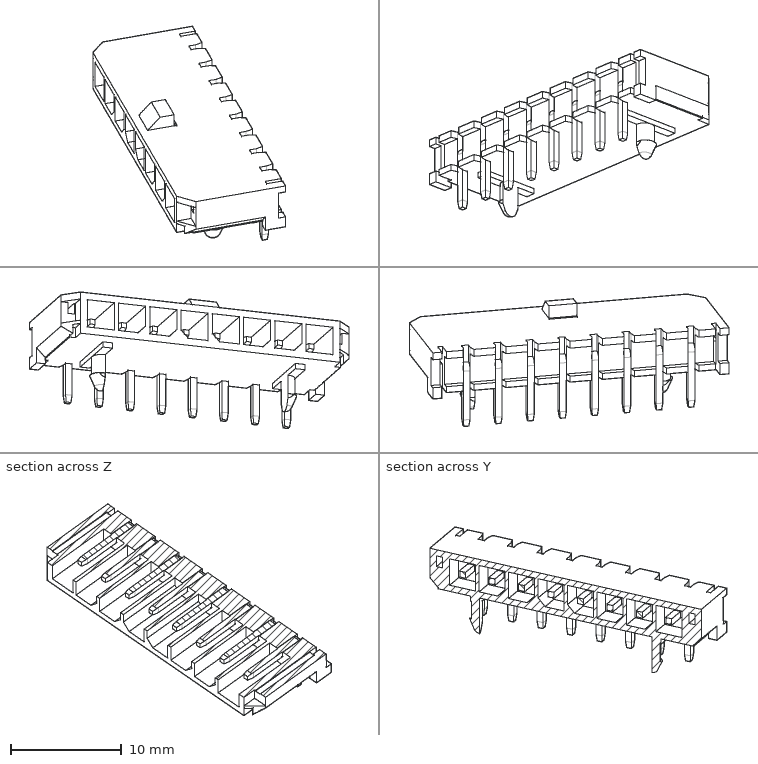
import cadquery as cq
import math


KEY_SIDES = [0, 1, 1, -1, -1, 1, 1, 0]
PIN_COUNT = len(KEY_SIDES)
ROW_SPAN = 21.0
PITCH = ROW_SPAN / (PIN_COUNT - 1)

LENGTH = 27.65
DEPTH = 9.9
HEIGHT = 3.93

CAVITY_SIZE = 2.6
CAVITY_DEPTH = 6.64
KEY_CHAMFER = 0.72
WALL = (HEIGHT - CAVITY_SIZE) / 2

RECESS_DEPTH = 0.65
FLANGE_TOP = 0.58
RECESS_TOP = HEIGHT - WALL
REAR_FACE = DEPTH - RECESS_DEPTH

PIN_WIDTH = 0.64
PIN_TIP_WIDTH = 0.47
PIN_TIP_LENGTH = 0.65
PIN_HEIGHT = 2.0
PIN_FRONT = 2.2
PIN_BOTTOM = -3.65
NOTCH_MOUTH = 1.0

CORNER = 1.38
CORNER_FLOOR = 1.25
BEVEL = 0.83
BEVEL_TOP = 0.95
BEVEL_BOTTOM = BEVEL_TOP - BEVEL

FOOT_DROP = 0.5
FOOT_WIDTH = 0.85
FOOT_DEPTH = 1.94
SLOT_WIDTH = 0.41
SLOT_DEPTH = 1.52
WINDOW_INSET = 0.7
WINDOW_BOTTOM = 2.25

LATCH_WIDTH = 2.63
LATCH_HEIGHT = 1.2
LATCH_FRONT = 0.8
LATCH_CREST = 2.0
LATCH_BACK = 3.32
LATCH_GROOVE = 0.28

PEG_X = 8.77
PEG_Y = 4.6
PEG_RADIUS = 0.95
BARB_RADIUS = 1.1
BARB_TOP = -2.25
TIP_RADIUS = 0.65
TIP_TOP = -3.25
TIP_BOTTOM = -3.65
RAIL_FRONT = 1.65
RAIL_BACK = 7.77


def box(x0, x1, y0, y1, z0, z1):
    """Box between two opposite corners."""
    return cq.Workplane("XY").box(x1 - x0, y1 - y0, z1 - z0, centered=False).translate((x0, y0, z0))


def both_ends(shape):
    """A shape at the -X end together with its mirror image at the +X end."""
    return shape.union(shape.mirror("YZ"))


def pin_positions():
    """X of every pin, from left to right."""
    return [i * PITCH - ROW_SPAN / 2 for i in range(PIN_COUNT)]


def pin_tip():
    """Square taper that starts at Z = 0 and points down."""
    return (
        cq.Workplane("XY")
        .rect(PIN_WIDTH, PIN_WIDTH)
        .workplane(offset=-PIN_TIP_LENGTH)
        .rect(PIN_TIP_WIDTH, PIN_TIP_WIDTH)
        .loft()
    )


def make_pin(x):
    """Right-angle pin with a rounded outer bend and two tapered ends."""
    half = PIN_WIDTH / 2
    top = PIN_HEIGHT + half
    bottom = PIN_HEIGHT - half
    shoulder_y = PIN_FRONT + PIN_TIP_LENGTH
    shoulder_z = PIN_BOTTOM + PIN_TIP_LENGTH
    leg_front = REAR_FACE - PIN_WIDTH
    bend = PIN_WIDTH * math.cos(math.radians(45))
    shank = (
        cq.Workplane("YZ")
        .moveTo(shoulder_y, bottom)
        .lineTo(shoulder_y, top)
        .lineTo(leg_front, top)
        .threePointArc((leg_front + bend, bottom + bend), (REAR_FACE, bottom))
        .lineTo(REAR_FACE, shoulder_z)
        .lineTo(leg_front, shoulder_z)
        .lineTo(leg_front, bottom)
        .close()
        .extrude(half, both=True)
    )
    mating_tip = pin_tip().rotate((0, 0, 0), (1, 0, 0), -90).translate((0, shoulder_y, PIN_HEIGHT))
    board_tip = pin_tip().translate((0, leg_front + half, shoulder_z))
    return shank.union(mating_tip).union(board_tip).translate((x, 0, 0))


def cavity(x, key_side):
    """Square mating cavity, with one lower corner filled where it is keyed."""
    half = CAVITY_SIZE / 2
    hole = box(-half, half, 0, CAVITY_DEPTH, WALL, RECESS_TOP)
    if key_side:
        side = ">X" if key_side > 0 else "<X"
        hole = hole.faces(side).edges("<Z").chamfer(KEY_CHAMFER)
    return hole.translate((x, 0, 0))


def pin_notch(x):
    """Full-height notch behind a pin: a flared mouth leading into a slot as wide as the pin."""
    half = PIN_WIDTH / 2
    slot_end = REAR_FACE - PIN_WIDTH
    return (
        cq.Workplane("XY")
        .polyline([
            (x - half, slot_end),
            (x + half, slot_end),
            (x + half, REAR_FACE),
            (x + NOTCH_MOUTH / 2, DEPTH),
            (x - NOTCH_MOUTH / 2, DEPTH),
            (x - half, REAR_FACE),
        ])
        .close()
        .extrude(HEIGHT)
    )


def corner_cuts():
    """Chamfer, open pocket and lower relief of the left front corner."""
    end = -LENGTH / 2
    chamfer = (
        cq.Workplane("XY")
        .polyline([(end, 0), (end + CORNER, 0), (end, CORNER)])
        .close()
        .extrude(HEIGHT)
    )
    pocket = box(end, end + CORNER, 0, CORNER, CORNER_FLOOR, RECESS_TOP)
    relief = box(end + BEVEL, end + CORNER, 0, CORNER, 0, BEVEL_TOP)
    return chamfer.union(pocket).union(relief)


def side_bevel():
    """Sloped undercut along the lower left side, from the front to the foot."""
    end = -LENGTH / 2
    foot_front = DEPTH - FOOT_DEPTH
    return (
        cq.Workplane("XZ")
        .polyline([(end, 0), (end + BEVEL, 0), (end + BEVEL, BEVEL_BOTTOM), (end, BEVEL_TOP)])
        .close()
        .extrude(-foot_front)
    )


def end_slot():
    """Rear slot beside the left foot and the window that joins it to the corner pocket."""
    end = -LENGTH / 2
    slot_left = end + FOOT_WIDTH
    slot_right = slot_left + SLOT_WIDTH
    slot_front = DEPTH - SLOT_DEPTH
    slot = box(slot_left, slot_right, slot_front, DEPTH, 0, HEIGHT)
    window = box(end + WINDOW_INSET, slot_right, CORNER, slot_front, WINDOW_BOTTOM, RECESS_TOP)
    return slot.union(window)


def foot():
    """Pad under the left rear corner."""
    end = -LENGTH / 2
    return box(end, end + FOOT_WIDTH, DEPTH - FOOT_DEPTH, DEPTH, -FOOT_DROP, 0)


def latch():
    """Ramp that rises from the front to a vertical back face."""
    return (
        cq.Workplane("YZ")
        .polyline([
            (LATCH_FRONT, HEIGHT),
            (LATCH_BACK, HEIGHT),
            (LATCH_BACK, HEIGHT + LATCH_HEIGHT),
            (LATCH_CREST, HEIGHT + LATCH_HEIGHT),
        ])
        .close()
        .extrude(LATCH_WIDTH / 2, both=True)
    )


def latch_groove():
    """Groove in the top wall that slopes down behind the latch."""
    groove_back = LATCH_BACK + LATCH_GROOVE
    return (
        cq.Workplane("YZ")
        .polyline([(LATCH_BACK, HEIGHT), (groove_back, HEIGHT), (groove_back, HEIGHT - LATCH_GROOVE)])
        .close()
        .extrude(LATCH_WIDTH / 2, both=True)
    )


def peg():
    """Left rail and half-round peg, with a conical barb cut flat at front and back and a domed tip."""
    tip_height = TIP_TOP - TIP_BOTTOM
    dome_radius = (TIP_RADIUS**2 + tip_height**2) / (2 * tip_height)
    dome_mid = (
        math.sqrt(dome_radius**2 - (dome_radius - tip_height / 2) ** 2),
        TIP_BOTTOM + tip_height / 2,
    )
    post = (
        cq.Workplane("XZ")
        .lineTo(PEG_RADIUS, 0)
        .lineTo(PEG_RADIUS, BARB_TOP)
        .lineTo(BARB_RADIUS, BARB_TOP)
        .lineTo(TIP_RADIUS, TIP_TOP)
        .threePointArc(dome_mid, (0, TIP_BOTTOM))
        .close()
        .revolve(360, (0, 0), (0, 1))
    )
    outer_half = box(-BARB_RADIUS, 0, -PEG_RADIUS, PEG_RADIUS, TIP_BOTTOM, 0)
    post = post.intersect(outer_half).translate((-PEG_X, PEG_Y, 0))
    rail = box(-PEG_X - PEG_RADIUS, -PEG_X, RAIL_FRONT, RAIL_BACK, -FOOT_DROP, 0)
    return rail.union(post)


def make_housing(pins):
    """Housing with a matching passage for every pin."""
    body = box(-LENGTH / 2, LENGTH / 2, 0, DEPTH, 0, HEIGHT)
    body = body.cut(box(-LENGTH / 2, LENGTH / 2, REAR_FACE, DEPTH, FLANGE_TOP, RECESS_TOP))
    for cut in (corner_cuts(), side_bevel(), end_slot()):
        body = body.cut(both_ends(cut))
    body = body.union(both_ends(foot()))
    body = body.union(both_ends(peg()))
    body = body.union(latch()).cut(latch_groove())
    for x, key_side, pin in zip(pin_positions(), KEY_SIDES, pins):
        body = body.cut(cavity(x, key_side)).cut(pin_notch(x)).cut(pin)
    return body


pins = [make_pin(x) for x in pin_positions()]
housing = make_housing(pins)

pin_solids = [pin.solids().val() for pin in pins]
result = cq.Compound.makeCompound([housing.solids().val(), *pin_solids])